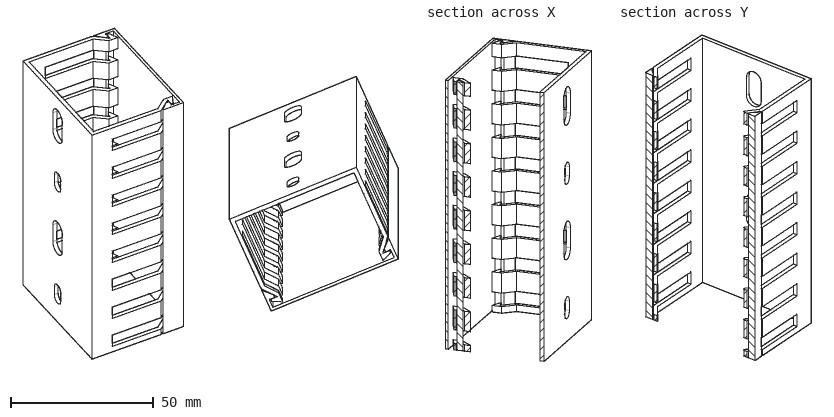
import cadquery as cq

width = 48.5
depth = 37.0
length = 100.0
half_width = width / 2

wall = 1.6
shoulder_drop = 9.1
inner_bend_drop = 9.5
finger_reach = 5.1
finger_knee_drop = 5.2
hook_peak_drop = 1.6
hook_tip_inset = 1.6
hook_tip_drop = 3.2
hook_seat_drop = 4.1
hook_root_inset = 4.1

slot_height = 5.0
slot_pitch = 12.5
slot_count = 8
first_slot_z = 5.0
slot_floor = 8.2

hole_pitch = 25.0
first_hole_z = hole_pitch / 2
hole_count = 4
narrow_hole = (8.0, 4.5)
wide_hole = (14.0, 6.5)

cover_wall = 1.1
leg_drop = 8.4
lip_reach = 3.1
lip_top_drop = 4.2
lip_edge_drop = leg_drop - lip_reach


def symmetric_extrusion(right_side):
    """Extrude along Z a profile given by its +X half and mirrored about X = 0."""
    left_side = [(-x, y) for x, y in reversed(right_side)]
    return cq.Workplane("XY").polyline(right_side + left_side).close().extrude(length)


def from_corner(inset, drop):
    """Profile point on the +X half, measured in from the side and down from the cover face."""
    return (half_width - inset, depth - drop)


def make_duct():
    duct = symmetric_extrusion([
        from_corner(0, depth),
        from_corner(0, shoulder_drop),
        from_corner(hook_root_inset, hook_seat_drop),
        from_corner(hook_tip_inset, hook_seat_drop),
        from_corner(hook_tip_inset, hook_tip_drop),
        from_corner(finger_reach, hook_peak_drop),
        from_corner(finger_reach, finger_knee_drop),
        from_corner(wall, inner_bend_drop),
        from_corner(wall, depth - wall),
    ])

    for index in range(slot_count):
        slot = cq.Workplane("XY").box(
            width, depth - slot_floor, slot_height, centered=(True, False, True)
        )
        duct = duct.cut(slot.translate((0, slot_floor, first_slot_z + index * slot_pitch)))

    for index in range(hole_count):
        hole_length, hole_width = narrow_hole if index % 2 == 0 else wide_hole
        hole = (
            cq.Workplane("XZ")
            .center(0, first_hole_z + index * hole_pitch)
            .slot2D(hole_length, hole_width, angle=90)
            .extrude(-wall)
        )
        duct = duct.cut(hole)
    return duct


def make_cover():
    return symmetric_extrusion([
        from_corner(0, 0),
        from_corner(0, leg_drop),
        from_corner(lip_reach, lip_edge_drop),
        from_corner(lip_reach, lip_top_drop),
        from_corner(cover_wall, lip_top_drop),
        from_corner(cover_wall, cover_wall),
    ])


duct = make_duct()
cover = make_cover()

result = cq.Compound.makeCompound([duct.val(), cover.val()])